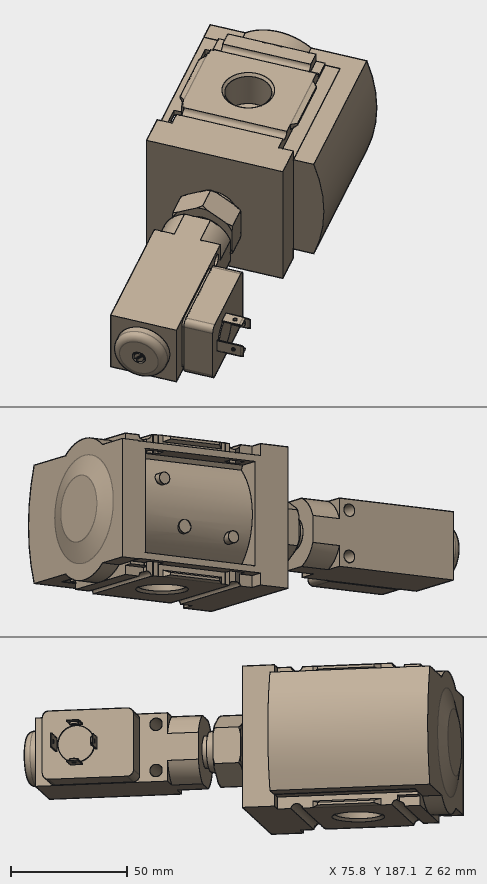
import cadquery as cq
import math


overall_width = 75.8
block_width = 62.0
half_block = block_width / 2
housing_length = 84.2
flange_length = 14.0
plate_thickness = 8.5
plate_front = housing_length - plate_thickness
frame_height = 51.8
half_frame = frame_height / 2
ledge_drop = 0.2
wall_edge_x = 40.2
wall_crown_x = overall_width - half_block

boss_width = 30.0
cap_base_diameter = 47.2
cap_top_diameter = 29.0
cap_height = 2.6

saddle_width = 48.5
half_saddle = saddle_width / 2
port_y = 44.5
port_diameter = 20.2
port_mouth_diameter = 22.6
port_depth = 16.8
port_chamfer = (port_mouth_diameter - port_diameter) / 2
groove_depth = 2.0
front_groove_y, front_groove_width = 22.5, 5.0
rear_groove_y, rear_groove_width = 66.6, 4.7
corner_step_x = 20.0
corner_step_y = 66.6
corner_step_z = 27.0
lip_reach = 2.5
lip_length = 29.8
lip_top_z = 30.3
lip_tip_height = 1.1
lip_bottom_z = 28.0

slot_outer_x = 27.9
slot_inner_x = 22.6
slot_width = 7.1
slot_step_x = 1.1
slot_far_step_y = 1.1
slot_near_step_y = 2.2
slot_offset = 20.5

window_front_y, window_back_y = 16.8, 72.5
window_half_height = 22.8
window_floor_x = 21.0
drum_radius = 28.8
drum_half_height = 20.8
drum_edge_x = math.sqrt(drum_radius**2 - drum_half_height**2)
drum_pins = (
    (62.1, 11.0, 5.2, 30.0),
    (50.7, -8.6, 6.0, 28.3),
    (27.1, -11.0, 5.2, 30.0),
)

fitting_length = 22.6
shank_diameter, shank_end = 20.8, 4.5
nut_flats, nut_end = 27.1, 16.5
collar_base_diameter, collar_tip_diameter, collar_end = 19.3, 17.4, 20.4
neck_diameter = 14.0
nut_corners = nut_flats / math.cos(math.pi / 6)
hexagon_turn = 30
nut_face_diameter = 29.0
nut_bevel_angle = 30

switch_width = 30.0
half_switch = switch_width / 2
switch_back_y = -fitting_length
switch_front_y = -94.1
round_end_length = 13.5
round_end_diameter = 32.2
mount_hole_diameter = 5.5
mount_hole_y = -41.2
mount_hole_z = 10.1
knob_diameter = 24.0
knob_end_y = -100.3
knob_fillet = 3.2
screw_well_diameter = 6.0
screw_well_depth = 1.9
screw_diameter = 4.5
screw_slot_width = 0.7
screw_slot_depth = 0.7
screw_slot_angle = -45

plug_center_y = -68.1
plug_length = 40.0
plug_inner_x, plug_outer_x = 16.3, 29.4
plug_fillet = 2.8
gasket_inset = 1.1
socket_diameter = 16.0
socket_height = 0.5
socket_y = -73.2
blade_width = 5.2
signal_blade_angles = (0, -90, 180)
earth_blade_angle = 90
blade_thickness = 0.5
blade_offset = 8.8
blade_end_x = 38.4
earth_blade_end_x = 41.2
earth_blade_width = 6.0
blade_hole_diameter = 1.65
blade_hole_x = 34.5
earth_hole_x = 36.7
blade_collar_diameter = 3.7
blade_collar_height = 1.0
blade_tip_length = 1.1
blade_tip_taper = 10


def box(x0, x1, y0, y1, z0, z1):
    """Box between two opposite corners."""
    return cq.Workplane("XY").box(x1 - x0, y1 - y0, z1 - z0, centered=False).translate((x0, y0, z0))


def disc_y(diameter, y0, y1):
    """Cylinder along Y on the switch axis."""
    return cq.Workplane("XZ", origin=(0, y1, 0)).circle(diameter / 2).extrude(y1 - y0)


def make_cone(diameter_0, y0, diameter_1, y1):
    """Cone frustum on the switch axis between two Y places."""
    return (
        cq.Workplane("XY")
        .moveTo(0, y0)
        .lineTo(diameter_0 / 2, y0)
        .lineTo(diameter_1 / 2, y1)
        .lineTo(0, y1)
        .close()
        .revolve(360, (0, 0, 0), (0, 1, 0))
    )


def rod_x(diameter, x0, x1, y, z):
    """Cylinder along X."""
    return cq.Workplane("YZ", origin=(x0, y, z)).circle(diameter / 2).extrude(x1 - x0)


def with_mirror(shape):
    """Shape together with its mirror image below Z = 0."""
    return shape.union(shape.mirror("XY"))


def make_frame():
    flange = box(-half_block, half_block, 0, flange_length, -half_block, half_block)
    ledge_z = half_frame - ledge_drop
    core = box(-half_block, half_block, flange_length, plate_front, -ledge_z, ledge_z)
    plate = box(-half_block, half_block, plate_front, housing_length, -half_frame, half_frame)
    right_wall = (
        cq.Workplane("XZ", origin=(0, housing_length, 0))
        .moveTo(half_block, -half_frame)
        .lineTo(wall_edge_x, -half_frame)
        .threePointArc((wall_crown_x, 0), (wall_edge_x, half_frame))
        .lineTo(half_block, half_frame)
        .close()
        .extrude(housing_length - flange_length)
    )
    return flange.union(core).union(plate).union(right_wall)


def make_boss():
    """Arched boss through the back plate, flush with the top and bottom of the flange."""
    half_boss = boss_width / 2
    return (
        cq.Workplane("XZ", origin=(0, housing_length, 0))
        .moveTo(-half_boss, -half_frame)
        .lineTo(-half_boss, half_frame)
        .threePointArc((0, half_block), (half_boss, half_frame))
        .lineTo(half_boss, -half_frame)
        .threePointArc((0, -half_block), (-half_boss, -half_frame))
        .close()
        .extrude(plate_thickness)
    )


def make_cap():
    """Flat cone on the back plate."""
    return make_cone(cap_base_diameter, housing_length, cap_top_diameter, housing_length + cap_height)


def make_groove(y, width):
    """Round-bottomed groove along X in the top of the saddle."""
    half_width = width / 2
    return (
        cq.Workplane("YZ", origin=(-half_saddle, y, half_block))
        .moveTo(-half_width, 0)
        .threePointArc((0, -groove_depth), (half_width, 0))
        .close()
        .extrude(saddle_width)
    )


def make_lip():
    """Lip along the left edge of the saddle: sloping underside and bevelled ends."""
    tip_x = half_saddle + lip_reach
    half_length = lip_length / 2
    wedge = (
        cq.Workplane("XZ", origin=(0, port_y + half_length, 0))
        .moveTo(-half_saddle, half_block)
        .lineTo(-tip_x, lip_top_z)
        .lineTo(-tip_x, lip_top_z - lip_tip_height)
        .lineTo(-half_saddle, lip_bottom_z)
        .close()
        .extrude(lip_length)
    )
    plan = (
        cq.Workplane("XY")
        .moveTo(-half_saddle, port_y - half_length)
        .lineTo(-tip_x, port_y - half_length + lip_reach)
        .lineTo(-tip_x, port_y + half_length - lip_reach)
        .lineTo(-half_saddle, port_y + half_length)
        .close()
        .extrude(half_block)
    )
    return wedge.intersect(plan)


def make_saddle():
    """Upper saddle with its grooves, stepped corners, lips and port."""
    saddle = box(-half_saddle, half_saddle, flange_length, plate_front, 0, half_block)
    for y, width in ((front_groove_y, front_groove_width), (rear_groove_y, rear_groove_width)):
        saddle = saddle.cut(make_groove(y, width))
    step = box(corner_step_x, half_saddle, corner_step_y, plate_front, corner_step_z, half_block)
    saddle = saddle.cut(step).cut(step.mirror("YZ"))
    lip = make_lip()
    return saddle.union(lip).union(lip.mirror("YZ"))


def make_port():
    """Port bored down from the top of the saddle, with a bevelled mouth."""
    port_radius = port_diameter / 2
    return (
        cq.Workplane("XZ", origin=(0, port_y, 0))
        .moveTo(0, half_block - port_depth)
        .lineTo(port_radius, half_block - port_depth)
        .lineTo(port_radius, half_block - port_chamfer)
        .lineTo(port_mouth_diameter / 2, half_block)
        .lineTo(0, half_block)
        .close()
        .revolve(360, (0, 0, 0), (0, 1, 0))
    )


def make_clamp_slot(side):
    """Stepped slot through a left rail and along the saddle flank.

    side is -1 for the slot in front of the port and 1 for the one behind it.
    """
    shoulder_x = slot_inner_x + slot_step_x
    center_y = port_y + side * slot_offset
    far_y = center_y + side * slot_width / 2
    near_y = center_y - side * slot_width / 2
    return (
        cq.Workplane("XY", origin=(0, 0, window_half_height))
        .moveTo(-slot_outer_x, far_y)
        .lineTo(-shoulder_x, far_y)
        .lineTo(-shoulder_x, far_y - side * slot_far_step_y)
        .lineTo(-slot_inner_x, far_y - side * slot_far_step_y)
        .lineTo(-slot_inner_x, near_y + side * slot_near_step_y)
        .lineTo(-shoulder_x, near_y + side * slot_near_step_y)
        .lineTo(-shoulder_x, near_y)
        .lineTo(-slot_outer_x, near_y)
        .close()
        .extrude(half_block - window_half_height)
    )


def make_window():
    """Window in the left side; its bottom is the convex flank of a drum along Y."""
    return (
        cq.Workplane("XZ", origin=(0, window_back_y, 0))
        .moveTo(-half_block, -window_half_height)
        .lineTo(-window_floor_x, -window_half_height)
        .lineTo(-drum_edge_x, -drum_half_height)
        .threePointArc((-drum_radius, 0), (-drum_edge_x, drum_half_height))
        .lineTo(-window_floor_x, window_half_height)
        .lineTo(-half_block, window_half_height)
        .close()
        .extrude(window_back_y - window_front_y)
    )


def make_housing():
    housing = make_frame().union(make_boss()).union(make_cap())
    housing = housing.union(with_mirror(make_saddle()))
    housing = housing.cut(make_port()).cut(make_port().mirror("XY"))
    housing = housing.cut(make_window())
    for side in (-1, 1):
        slot = make_clamp_slot(side)
        housing = housing.cut(slot).cut(slot.mirror("XY"))
    for y, z, diameter, outer_x in drum_pins:
        housing = housing.union(rod_x(diameter, -outer_x, -drum_edge_x, y, z))
    return housing


def make_nut():
    """Hexagonal nut with corners on Z and both ends bevelled."""
    nut_length = nut_end - shank_end
    hexagon = (
        cq.Workplane("XZ", origin=(0, -shank_end, 0))
        .polygon(6, nut_corners)
        .extrude(nut_length)
        .rotate((0, 0, 0), (0, 1, 0), hexagon_turn)
    )
    bevel_width = (nut_corners - nut_face_diameter) / 2
    bevel_length = bevel_width * math.tan(math.radians(nut_bevel_angle))
    envelope = disc_y(nut_corners, -nut_end, -shank_end).edges().chamfer(bevel_length, bevel_width)
    return hexagon.intersect(envelope)


def make_fitting():
    collar = make_cone(collar_base_diameter, -nut_end, collar_tip_diameter, -collar_end)
    shank = disc_y(shank_diameter, -shank_end, 0)
    neck = disc_y(neck_diameter, -fitting_length, -collar_end)
    return shank.union(make_nut()).union(collar).union(neck)


def make_switch_block():
    """Square block whose fitting end is turned round at the corners."""
    shoulder_y = switch_back_y - round_end_length
    block = box(-half_switch, half_switch, switch_front_y, shoulder_y, -half_switch, half_switch)
    tip = box(-half_switch, half_switch, shoulder_y, switch_back_y, -half_switch, half_switch)
    block = block.union(tip.intersect(disc_y(round_end_diameter, shoulder_y, switch_back_y)))
    for z in (-mount_hole_z, mount_hole_z):
        block = block.cut(rod_x(mount_hole_diameter, -half_switch, half_switch, mount_hole_y, z))
    return block


def make_knob():
    """Round knob on the switch end, with a slotted screw in a well."""
    knob = disc_y(knob_diameter, knob_end_y, switch_front_y).faces("<Y").edges().fillet(knob_fillet)
    well_floor_y = knob_end_y + screw_well_depth
    knob = knob.cut(disc_y(screw_well_diameter, knob_end_y, well_floor_y))
    screw = disc_y(screw_diameter, knob_end_y, well_floor_y)
    slot = (
        box(-screw_diameter, screw_diameter, knob_end_y, knob_end_y + screw_slot_depth,
            -screw_slot_width / 2, screw_slot_width / 2)
        .rotate((0, 0, 0), (0, 1, 0), screw_slot_angle)
    )
    return knob.union(screw.cut(slot))


def make_blade(end_x, width, hole_x):
    """Contact blade lying flat on Z = 0, with a tapered tip and a hole."""
    tip_x = end_x - blade_tip_length
    shank = box(plug_outer_x, tip_x, -width / 2, width / 2, -blade_thickness / 2, blade_thickness / 2)
    tip = (
        cq.Workplane("YZ", origin=(tip_x, 0, 0))
        .rect(width, blade_thickness)
        .extrude(blade_tip_length, taper=blade_tip_taper)
    )
    return shank.union(tip).cut(make_blade_hole(hole_x))


def make_blade_hole(hole_x):
    """Cutter for a hole through the blade and its collar."""
    depth = blade_thickness + blade_collar_height
    return (
        cq.Workplane("XY", origin=(hole_x, 0, 0))
        .circle(blade_hole_diameter / 2)
        .extrude(depth, both=True)
    )


def make_signal_blade():
    """Blade with a collar below its hole."""
    blade = make_blade(blade_end_x, blade_width, blade_hole_x)
    collar = (
        cq.Workplane("XY", origin=(blade_hole_x, 0, 0))
        .circle(blade_collar_diameter / 2)
        .extrude(-blade_thickness / 2 - blade_collar_height)
        .cut(make_blade_hole(blade_hole_x))
    )
    return blade.union(collar)


def make_plug():
    half_length = plug_length / 2
    plug = box(plug_inner_x, plug_outer_x, plug_center_y - half_length, plug_center_y + half_length,
               -half_switch, half_switch)
    plug = plug.edges("|X").fillet(plug_fillet)
    gasket_half_length = half_length - gasket_inset
    gasket_half_height = half_switch - gasket_inset
    gasket = box(half_switch, plug_inner_x, plug_center_y - gasket_half_length,
                 plug_center_y + gasket_half_length, -gasket_half_height, gasket_half_height)
    plug = plug.union(gasket.edges("|X").fillet(plug_fillet))
    plug = plug.union(rod_x(socket_diameter, plug_outer_x, plug_outer_x + socket_height, socket_y, 0))

    for angle in signal_blade_angles:
        blade = make_signal_blade().translate((0, 0, blade_offset)).rotate((0, 0, 0), (1, 0, 0), angle)
        plug = plug.union(blade.translate((0, socket_y, 0)))
    earth_blade = make_blade(earth_blade_end_x, earth_blade_width, earth_hole_x)
    earth_blade = earth_blade.translate((0, 0, blade_offset)).rotate((0, 0, 0), (1, 0, 0), earth_blade_angle)
    return plug.union(earth_blade.translate((0, socket_y, 0)))


def make_switch():
    return make_switch_block().union(make_knob()).union(make_plug())


housing = make_housing()
fitting = make_fitting()
switch = make_switch()
result = cq.Compound.makeCompound([housing.solids().val(), fitting.solids().val(), switch.solids().val()])